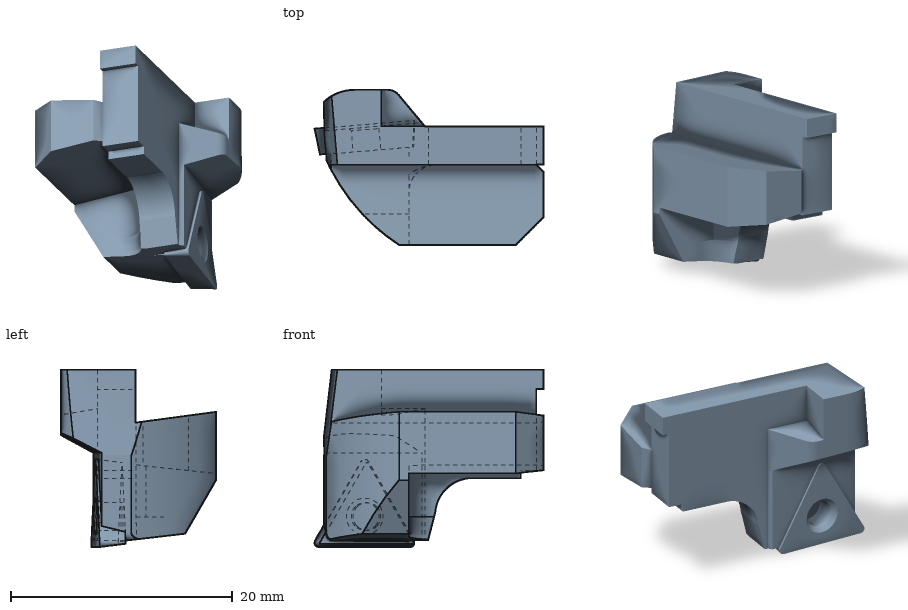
import cadquery as cq
import math

length = 20.65
depth = 14.0
height = 16.0
beyond = 5.0

slab_front_y = 7.25
slab_back_y = 10.7
slab_lip_z = 14.25
slab_end_x = 20.0
rail_bottom_z = 6.2
rail_end_x = 18.6
rail_end_top_z = 6.95

wedge_top_z = 12.2
wedge_bottom_z = 6.65
wedge_top_angle = 7.6
wedge_bottom_angle = 6.2
wedge_chamfer = 2.5
wedge_rear_chamfer = 0.65
front_flat_x = 7.63
front_arc_end = (0.9, 8.05)
front_arc_sag = 0.78

leg_underside_angle = 6.6
leg_bevel_low = (2.8, 1.2)
leg_bevel_high_z = 6.05
leg_front_right_x = 8.48
leg_relief_radius = 2.5
leg_pocket_bottom_z = 2.75
leg_pocket_depth = 0.9
leg_toe_z = 0.63
leg_right_low_x = 10.25
leg_arc_start = (10.9, 3.15)
leg_arc_end_x = 13.9
leg_arc_sag = 0.78

head_corner_radius = 4.0
head_corner_x = 3.6
head_right_x = 6.0
boss_corner_x = 7.2
boss_end_x = 9.95
boss_corner_radius = 1.3
boss_top_z = 12.5
boss_top_angle = 9.5

rake_angle = 4.8
rake_corner_y = 10.5
left_face_offset = 0.84
left_face_bend_z = 8.3
left_face_angle = 7.0
rake_projection = 0.25
seat_top_z = 8.5
head_underside_angle = 27.0
corner_round_width = 0.4
corner_round_height = 0.65
corner_round_sag = 0.12

insert_circle = 5.56
insert_thickness = 2.38
insert_corner_radius = 0.4
insert_clearance = 7.0
insert_hole = 2.5
insert_sink = 3.3
insert_sink_angle = 82.0


def tan(degrees):
    return math.tan(math.radians(degrees))


def bulge_point(start, end, sag):
    """Middle of an arc that bulges by sag to the right of the chord from start to end."""
    dx = end[0] - start[0]
    dy = end[1] - start[1]
    chord = math.hypot(dx, dy)
    middle_x = (start[0] + end[0]) / 2 + sag * dy / chord
    middle_y = (start[1] + end[1]) / 2 - sag * dx / chord
    return (middle_x, middle_y)


rake_cos = math.cos(math.radians(rake_angle))
rake_sin = math.sin(math.radians(rake_angle))
seat_origin = (0, rake_corner_y, 0)
rake_plane = cq.Plane(origin=seat_origin, xDir=(rake_cos, rake_sin, 0), normal=(rake_sin, -rake_cos, 0))
section_plane = cq.Plane(origin=seat_origin, xDir=(-rake_sin, rake_cos, 0), normal=(rake_cos, rake_sin, 0))


def side_profile():
    """Section of the housing in YZ, run through its whole length."""
    underside_back_z = leg_bevel_low[1] - (depth - leg_bevel_low[0]) * tan(leg_underside_angle)
    step_z = wedge_top_z - slab_front_y * tan(wedge_top_angle)
    return (
        cq.Workplane("YZ", origin=(-beyond, 0, 0))
        .moveTo(0, wedge_top_z)
        .lineTo(slab_front_y, step_z)
        .lineTo(slab_front_y, height)
        .lineTo(depth, height)
        .lineTo(depth, underside_back_z)
        .lineTo(*leg_bevel_low)
        .lineTo(0, leg_bevel_high_z)
        .close()
        .extrude(length + 2 * beyond)
    )


def plan_outline():
    """Outline of the housing seen along Z, extruded over the full height."""
    corner_left_x = head_corner_x - head_corner_radius
    corner_y = depth - head_corner_radius
    diagonal = head_corner_radius * math.sqrt(0.5)
    front_corner = (front_flat_x, 0)
    outline = (
        cq.Workplane("XY")
        .moveTo(*front_corner)
        .lineTo(length - wedge_chamfer, 0)
        .lineTo(length, wedge_chamfer)
        .lineTo(length, slab_back_y)
        .lineTo(boss_end_x, slab_back_y)
        .lineTo(boss_corner_x, depth)
        .lineTo(head_corner_x, depth)
        .threePointArc((head_corner_x - diagonal, corner_y + diagonal), (corner_left_x, corner_y))
        .lineTo(*front_arc_end)
        .threePointArc(bulge_point(front_corner, front_arc_end, -front_arc_sag), front_corner)
        .close()
        .extrude(height)
    )
    boss_corner = cq.selectors.NearestToPointSelector((boss_corner_x, depth, height / 2))
    return outline.edges(boss_corner).fillet(boss_corner_radius)


def slab_end_cut():
    """Space below the lip, with the chamfer on the wedge's rear right corner."""
    return (
        cq.Workplane("XY")
        .moveTo(length, slab_front_y - wedge_rear_chamfer)
        .lineTo(slab_end_x, slab_front_y)
        .lineTo(slab_end_x, depth)
        .lineTo(length + beyond, depth)
        .lineTo(length + beyond, slab_front_y - wedge_rear_chamfer)
        .close()
        .extrude(slab_lip_z)
    )


def rail_end_cut():
    """Space right of the rail along the bottom of the slab."""
    return cq.Workplane("XY").box(
        beyond, depth - slab_front_y, rail_end_top_z, centered=False
    ).translate((rail_end_x, slab_front_y, 0))


def leg_right_cut():
    """Space to the right of the leg, below its toe and below the rail."""
    arc_end = (leg_arc_end_x, rail_bottom_z)
    return (
        cq.Workplane("XZ", origin=(0, depth, 0))
        .moveTo(leg_front_right_x, -beyond)
        .lineTo(leg_front_right_x, leg_toe_z)
        .lineTo(leg_right_low_x, leg_toe_z)
        .lineTo(*leg_arc_start)
        .threePointArc(bulge_point(leg_arc_start, arc_end, -leg_arc_sag), arc_end)
        .lineTo(length + beyond, rail_bottom_z)
        .lineTo(length + beyond, -beyond)
        .close()
        .extrude(depth)
    )


def inner_corner_space(bottom_z, corner_depth):
    """Space in front of the slab and right of the leg, above bottom_z.

    The inner corner is an arc that leaves the slab smoothly and meets the leg wall
    corner_depth in front of the slab.
    """
    corner_start = (leg_front_right_x, slab_front_y - corner_depth)
    corner_end = (leg_front_right_x + leg_relief_radius, slab_front_y)
    chord = math.hypot(leg_relief_radius, corner_depth)
    chord_angle = math.atan2(corner_depth, leg_relief_radius)
    sag = chord / 2 * math.tan(chord_angle / 2)
    return (
        cq.Workplane("XY", origin=(0, 0, bottom_z))
        .moveTo(leg_front_right_x, 0)
        .lineTo(*corner_start)
        .threePointArc(bulge_point(corner_start, corner_end, -sag), corner_end)
        .lineTo(length, slab_front_y)
        .lineTo(length, 0)
        .close()
        .extrude(height)
    )


def wedge_underside_cut():
    """Space below the wedge; its inner corner is a plain radius below and a deeper pocket above."""
    space = inner_corner_space(0, leg_relief_radius)
    pocket = inner_corner_space(leg_pocket_bottom_z, leg_pocket_depth)
    below_wedge = (
        cq.Workplane("YZ")
        .moveTo(0, 0)
        .lineTo(0, wedge_bottom_z)
        .lineTo(slab_front_y, wedge_bottom_z + slab_front_y * tan(wedge_bottom_angle))
        .lineTo(slab_front_y, 0)
        .close()
        .extrude(length)
    )
    return space.union(pocket).intersect(below_wedge)


def boss_top_cut():
    """Space above the boss, over a top that falls towards the back."""
    boss_back_z = boss_top_z - (depth - slab_back_y) * tan(boss_top_angle)
    return (
        cq.Workplane("YZ", origin=(head_right_x, 0, 0))
        .moveTo(slab_back_y, height)
        .lineTo(slab_back_y, boss_top_z)
        .lineTo(depth, boss_back_z)
        .lineTo(depth, height)
        .close()
        .extrude(length)
    )


def left_face_cut():
    """Trims the left side: upright beside the seat, leaning inwards above, rounded at the bottom."""
    top_offset = left_face_offset + (height - left_face_bend_z) * tan(left_face_angle)
    round_start = (left_face_offset + corner_round_width, leg_toe_z)
    round_end = (left_face_offset, leg_toe_z + corner_round_height)
    return (
        cq.Workplane(rake_plane)
        .moveTo(round_start[0], 0)
        .lineTo(*round_start)
        .threePointArc(bulge_point(round_start, round_end, -corner_round_sag), round_end)
        .lineTo(left_face_offset, left_face_bend_z)
        .lineTo(top_offset, height)
        .lineTo(-beyond, height)
        .lineTo(-beyond, 0)
        .close()
        .extrude(depth, both=True)
    )


def seat_cut():
    """Space behind the leg and below the sloping underside of the head."""
    return (
        cq.Workplane(section_plane)
        .moveTo(-rake_projection, 0)
        .lineTo(-rake_projection, seat_top_z)
        .lineTo(beyond, seat_top_z + (beyond + rake_projection) * tan(head_underside_angle))
        .lineTo(beyond, 0)
        .close()
        .extrude(length, both=True)
    )


def make_insert_blank():
    """Triangle with rounded corners, narrowing away from the rake face."""
    radius = insert_corner_radius
    side = (insert_circle - 2 * radius) * math.sqrt(3)
    corners = [
        (radius, radius),
        (radius + side, radius),
        (radius + side / 2, radius + side * math.sqrt(3) / 2),
    ]
    return (
        cq.Workplane(rake_plane)
        .polyline(corners)
        .close()
        .offset2D(radius)
        .extrude(insert_thickness, taper=insert_clearance)
    )


def make_insert(blank):
    """Insert with a countersunk screw hole at its centre."""
    radius = insert_corner_radius
    centre_x = radius + (insert_circle / 2 - radius) * math.sqrt(3)
    hole_face = rake_plane.rotated((0, 180, 0))
    return (
        blank.copyWorkplane(cq.Workplane(hole_face))
        .center(-centre_x, insert_circle / 2)
        .cskHole(insert_hole, insert_sink, insert_sink_angle)
    )


def make_housing(insert_blank):
    """Housing with its head, slab, wedge and leg, and a seat that fits the insert."""
    housing = side_profile().intersect(plan_outline())
    cuts = [
        slab_end_cut(),
        rail_end_cut(),
        leg_right_cut(),
        wedge_underside_cut(),
        boss_top_cut(),
        left_face_cut(),
        seat_cut(),
        insert_blank,
    ]
    for cut in cuts:
        housing = housing.cut(cut)
    return housing


insert_blank = make_insert_blank()
insert = make_insert(insert_blank)
housing = make_housing(insert_blank)

result = cq.Compound.makeCompound([housing.val(), insert.val()])